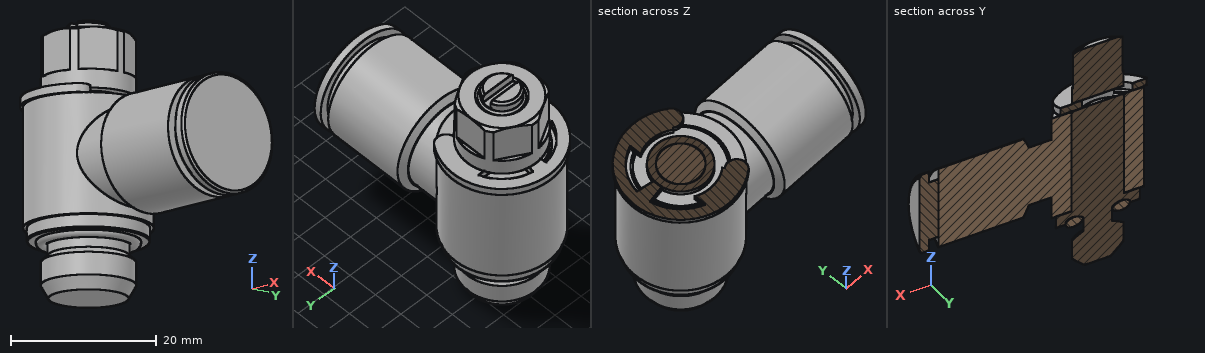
import cadquery as cq
import math

TOTAL_HEIGHT = 38.7

BARREL_RADIUS = 9.0
BARREL_BOTTOM = 9.95
BARREL_TOP = 27.05
BORE_CHAMFER = 0.3
BRANCH_Z = (BARREL_BOTTOM + BARREL_TOP) / 2
NECK_RADIUS = 7.15
SLEEVE_RADIUS = 17.0 / 2
SLEEVE_CONE_RADIUS = 7.28
SLEEVE_START = 11.03
SLEEVE_CONE_LENGTH = 0.8
SLEEVE_END = 25.45

RING_FLANGE_START = 26.95
RING_END = 28.5
RING_CHAMFER_LENGTH = 0.3
RING_CHAMFER_DEPTH = 0.4

BOLT_RADIUS = 13.2 / 2
GROOVE_RADIUS = 4.7
BOLT_TIP_RADIUS = 5.55
BOLT_TIP_LENGTH = 1.85
THREAD_TOP = 5.07
RELIEF_BOTTOM = 6.0
RELIEF_RADIUS = 5.65
COLLAR_RADIUS = SLEEVE_RADIUS
COLLAR_BOTTOM = 8.0
COLLAR_CHAMFER_HEIGHT = 0.2
COLLAR_CHAMFER_DEPTH = 0.08
HEX_BOTTOM = 30.95
HEX_TOP = 37.07
HEX_ACROSS_FLATS = 12.0
HEX_FACE_RADIUS = 11.95 / 2
HEX_CHAMFER_ANGLE = math.radians(30)

O_RING_TUBE_RADIUS = 0.8
O_RING_CENTRE_RADIUS = RELIEF_RADIUS + O_RING_TUBE_RADIUS

SCREW_TIP_RADIUS = 6.0 / 2
SCREW_TIP_FACE_RADIUS = 2.65
SCREW_TIP_CHAMFER_HEIGHT = 0.4
SCREW_FLARE_TOP = 37.15
SCREW_RADIUS = 3.35
SCREW_HOLE_MOUTH_RADIUS = 7.4 / 2
SCREW_HOLE_CHAMFER = SCREW_HOLE_MOUTH_RADIUS - SCREW_RADIUS
SCREW_FLARE_BOTTOM = HEX_TOP - SCREW_HOLE_CHAMFER
SCREW_BOTTOM = BARREL_TOP
SLOT_WIDTH = 1.5
SLOT_DEPTH = 1.45

CLIP_RADIUS = 9.4
CLIP_THICKNESS = 1.25
CLIP_MIDDLE_RADIUS = 7.75
CLIP_GAP_HALF_ANGLE = math.radians(53)
CLIP_BORE_RADIUS = 5.73
CLIP_SLOT_RADIUS = 7.55
CLIP_SLOT_END_X = -2.65
CLIP_TAB_HALF_ANGLE = math.radians(9.7)


def turned_about_z(profile):
    """Solid of revolution about Z from (radius, z) points."""
    return cq.Workplane("XZ").polyline(profile).close().revolve(360, (0, 0), (0, 1))


def turned_about_branch(profile):
    """Solid of revolution about the branch axis from (x, radius) points."""
    outline = cq.Workplane("XZ", origin=(0, 0, BRANCH_Z)).polyline(profile).close()
    return outline.revolve(360, (0, 0), (1, 0))


def disc(radius, bottom, height):
    return cq.Workplane("XY", origin=(0, 0, bottom)).circle(radius).extrude(height)


def make_housing():
    barrel = disc(BARREL_RADIUS, BARREL_BOTTOM, BARREL_TOP - BARREL_BOTTOM)
    branch = turned_about_branch([
        (0, 0),
        (0, NECK_RADIUS),
        (SLEEVE_START, NECK_RADIUS),
        (SLEEVE_START, SLEEVE_CONE_RADIUS),
        (SLEEVE_START + SLEEVE_CONE_LENGTH, SLEEVE_RADIUS),
        (SLEEVE_END, SLEEVE_RADIUS),
        (SLEEVE_END, 0),
    ])
    bore = turned_about_z([
        (0, BARREL_BOTTOM),
        (BOLT_RADIUS, BARREL_BOTTOM),
        (BOLT_RADIUS, BARREL_TOP - BORE_CHAMFER),
        (BOLT_RADIUS + BORE_CHAMFER, BARREL_TOP),
        (0, BARREL_TOP),
    ])
    return barrel.union(branch).cut(bore)


def make_release_ring():
    return turned_about_branch([
        (SLEEVE_END, 0),
        (SLEEVE_END, NECK_RADIUS),
        (RING_FLANGE_START, NECK_RADIUS),
        (RING_FLANGE_START, SLEEVE_RADIUS),
        (RING_END - RING_CHAMFER_LENGTH, SLEEVE_RADIUS),
        (RING_END, SLEEVE_RADIUS - RING_CHAMFER_DEPTH),
        (RING_END, 0),
    ])


def make_o_ring():
    centre = cq.Vector(0, 0, COLLAR_BOTTOM)
    return cq.Workplane(cq.Solid.makeTorus(O_RING_CENTRE_RADIUS, O_RING_TUBE_RADIUS, centre))


def make_adjusting_screw():
    screw = turned_about_z([
        (0, SCREW_BOTTOM),
        (SCREW_RADIUS, SCREW_BOTTOM),
        (SCREW_RADIUS, SCREW_FLARE_BOTTOM),
        (SCREW_TIP_RADIUS, SCREW_FLARE_TOP),
        (SCREW_TIP_RADIUS, TOTAL_HEIGHT - SCREW_TIP_CHAMFER_HEIGHT),
        (SCREW_TIP_FACE_RADIUS, TOTAL_HEIGHT),
        (0, TOTAL_HEIGHT),
    ])
    slot_floor = cq.Workplane("XY", origin=(0, 0, TOTAL_HEIGHT - SLOT_DEPTH))
    slot = slot_floor.rect(SLOT_WIDTH, 2 * SCREW_RADIUS).extrude(SLOT_DEPTH)
    return screw.cut(slot)


def make_bolt_head():
    """Hexagon with its corners turned to the bolt radius and its top edge chamfered."""
    chamfer_drop = (BOLT_RADIUS - HEX_FACE_RADIUS) * math.tan(HEX_CHAMFER_ANGLE)
    turned_blank = turned_about_z([
        (0, HEX_BOTTOM),
        (BOLT_RADIUS, HEX_BOTTOM),
        (BOLT_RADIUS, HEX_TOP - chamfer_drop),
        (HEX_FACE_RADIUS, HEX_TOP),
        (0, HEX_TOP),
    ])
    across_corners = HEX_ACROSS_FLATS / math.cos(math.pi / 6)
    hex_base = cq.Workplane("XY", origin=(0, 0, HEX_BOTTOM))
    hexagon = hex_base.polygon(6, across_corners).extrude(HEX_TOP - HEX_BOTTOM)
    return turned_blank.intersect(hexagon)


def make_bolt():
    stem = turned_about_z([
        (0, 0),
        (BOLT_TIP_RADIUS, 0),
        (BOLT_RADIUS, BOLT_TIP_LENGTH),
        (BOLT_RADIUS, THREAD_TOP),
        (RELIEF_RADIUS, RELIEF_BOTTOM),
        (RELIEF_RADIUS, COLLAR_BOTTOM),
        (COLLAR_RADIUS - COLLAR_CHAMFER_DEPTH, COLLAR_BOTTOM),
        (COLLAR_RADIUS, COLLAR_BOTTOM + COLLAR_CHAMFER_HEIGHT),
        (COLLAR_RADIUS, BARREL_BOTTOM),
        (BOLT_RADIUS, BARREL_BOTTOM),
        (BOLT_RADIUS, BARREL_TOP),
        (GROOVE_RADIUS, BARREL_TOP),
        (GROOVE_RADIUS, BARREL_TOP + CLIP_THICKNESS),
        (BOLT_RADIUS, BARREL_TOP + CLIP_THICKNESS),
        (BOLT_RADIUS, HEX_BOTTOM),
        (0, HEX_BOTTOM),
    ])
    screw_hole = turned_about_z([
        (0, SCREW_BOTTOM),
        (SCREW_RADIUS, SCREW_BOTTOM),
        (SCREW_RADIUS, SCREW_FLARE_BOTTOM),
        (SCREW_HOLE_MOUTH_RADIUS, HEX_TOP),
        (0, HEX_TOP),
    ])
    return stem.union(make_bolt_head()).cut(screw_hole).cut(make_o_ring())


def clip_sector(half_angle, direction):
    """Triangular prism from the axis outwards, symmetric about +X (direction 1) or -X (-1)."""
    reach = direction * 2 * CLIP_RADIUS
    spread = 2 * CLIP_RADIUS * math.tan(half_angle)
    outline = cq.Workplane("XY", origin=(0, 0, BARREL_TOP))
    outline = outline.polyline([(0, 0), (reach, spread), (reach, -spread)]).close()
    return outline.extrude(CLIP_THICKNESS)


def make_clip():
    clip = disc(CLIP_RADIUS, BARREL_TOP, CLIP_THICKNESS)
    clip = clip.cut(clip_sector(CLIP_GAP_HALF_ANGLE, 1))

    end_radius = CLIP_RADIUS - CLIP_MIDDLE_RADIUS
    for side in (1, -1):
        end_x = CLIP_MIDDLE_RADIUS * math.cos(CLIP_GAP_HALF_ANGLE)
        end_y = side * CLIP_MIDDLE_RADIUS * math.sin(CLIP_GAP_HALF_ANGLE)
        clip = clip.union(disc(end_radius, BARREL_TOP, CLIP_THICKNESS).translate((end_x, end_y, 0)))

    slot_side = cq.Workplane("XY", origin=(CLIP_SLOT_END_X - CLIP_RADIUS, 0, BARREL_TOP))
    slot_side = slot_side.rect(2 * CLIP_RADIUS, 2 * CLIP_RADIUS).extrude(CLIP_THICKNESS)
    relief = disc(CLIP_SLOT_RADIUS, BARREL_TOP, CLIP_THICKNESS).intersect(slot_side)
    relief = relief.union(disc(CLIP_BORE_RADIUS, BARREL_TOP, CLIP_THICKNESS))
    relief = relief.cut(clip_sector(CLIP_TAB_HALF_ANGLE, -1))

    groove_space = disc(GROOVE_RADIUS, BARREL_TOP, CLIP_THICKNESS)
    return clip.cut(relief).cut(groove_space)


housing = make_housing()
release_ring = make_release_ring()
bolt = make_bolt()
o_ring = make_o_ring()
adjusting_screw = make_adjusting_screw()
clip = make_clip()

result = cq.Compound.makeCompound([
    housing.val(),
    release_ring.val(),
    bolt.val(),
    o_ring.val(),
    adjusting_screw.val(),
    clip.val(),
])